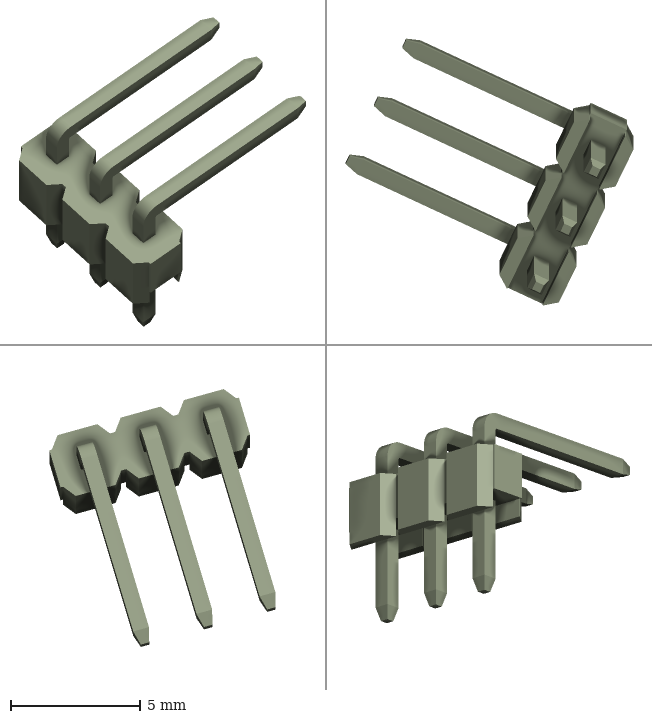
import cadquery as cq

pin_count = 3
overall_x = 7.62
overall_y = 9.42
overall_z = 7.33
pitch = overall_x / pin_count

housing_depth = 2.54
housing_height = 2.54
corner_width = 2.34
front_flat_width = 1.6
side_flat_depth = 1.55
channel_depth = 0.73
channel_width = 1.51

pin_width = 0.63
pin_rise = 1.78
bend_inner_radius = 0.08
taper_length = 0.55
tip_width = 0.34
pin_reach = overall_y - housing_depth / 2
pin_bottom = pin_rise - overall_z
pin_axis_z = pin_rise - pin_width / 2
bend_radius = bend_inner_radius + pin_width / 2


def make_housing(x):
    """Bevelled block with side pads, a channel underneath and a square pin hole."""
    half_flat = front_flat_width / 2
    half_corner = corner_width / 2
    half_side = side_flat_depth / 2
    half_depth = housing_depth / 2
    outline = [
        (half_flat, half_depth),
        (half_corner, half_side),
        (half_corner, -half_side),
        (half_flat, -half_depth),
        (-half_flat, -half_depth),
        (-half_corner, -half_side),
        (-half_corner, half_side),
        (-half_flat, half_depth),
    ]
    block = cq.Workplane("XY").polyline(outline).close().extrude(-housing_height)
    channel = (
        cq.Workplane("XY")
        .workplane(offset=-housing_height)
        .rect(pitch, channel_width)
        .extrude(channel_depth)
    )
    pads = cq.Workplane("XY").rect(pitch, side_flat_depth).extrude(channel_depth - housing_height)
    hole = cq.Workplane("XY").rect(pin_width, pin_width).extrude(-housing_height)
    return block.cut(channel).union(pads).cut(hole).translate((x, 0, 0))


def make_tip(plane):
    """Tapered square pin end that starts on the plane and narrows along its normal."""
    return (
        cq.Workplane(plane)
        .rect(pin_width, pin_width)
        .workplane(offset=taper_length)
        .rect(tip_width, tip_width)
        .loft(ruled=True)
    )


def make_pin(x):
    """Square pin that rises through the housing, bends toward +Y and is tapered at both ends."""
    lower_end = cq.Plane(origin=(0, 0, pin_bottom + taper_length), xDir=(1, 0, 0), normal=(0, 0, -1))
    rear_end = cq.Plane(
        origin=(0, pin_reach - taper_length, pin_axis_z), xDir=(1, 0, 0), normal=(0, 1, 0)
    )
    bend_start_z = pin_axis_z - bend_radius
    leg = cq.Workplane(lower_end).rect(pin_width, pin_width).extrude(lower_end.origin.z - bend_start_z)
    arm = cq.Workplane(rear_end).rect(pin_width, pin_width).extrude(bend_radius - rear_end.origin.y)
    bend = (
        cq.Workplane("XY")
        .workplane(offset=bend_start_z)
        .rect(pin_width, pin_width)
        .revolve(90, (0.09, bend_radius, 0), (0, bend_radius, 0))
    )
    pin = leg.union(bend).union(arm).union(make_tip(lower_end)).union(make_tip(rear_end))
    return pin.translate((x, 0, 0))


bodies = []
for index in range(pin_count):
    position = (index - (pin_count - 1) / 2) * pitch
    bodies.append(make_housing(position).val())
    bodies.append(make_pin(position).val())

result = cq.Compound.makeCompound(bodies)